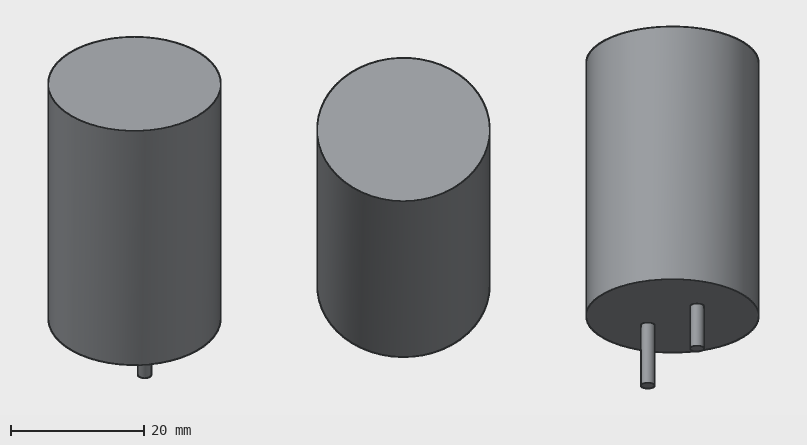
import cadquery as cq

can_diameter = 26.0
can_height = 42.0

lead_diameter = 2.1
lead_spacing = 10.0
long_lead_length = 10.0
short_lead_length = 7.0


def make_can():
    return cq.Workplane("XY").circle(can_diameter / 2).extrude(can_height)


def make_lead(x, length):
    """Round lead at (x, 0), running down from the underside of the can."""
    return cq.Workplane("XY").center(x, 0).circle(lead_diameter / 2).extrude(-length)


can = make_can()

lead_layout = [
    (-lead_spacing / 2, long_lead_length),
    (lead_spacing / 2, short_lead_length),
]
leads = [make_lead(x, length).val() for x, length in lead_layout]

result = cq.Compound.makeCompound([can.val(), *leads])